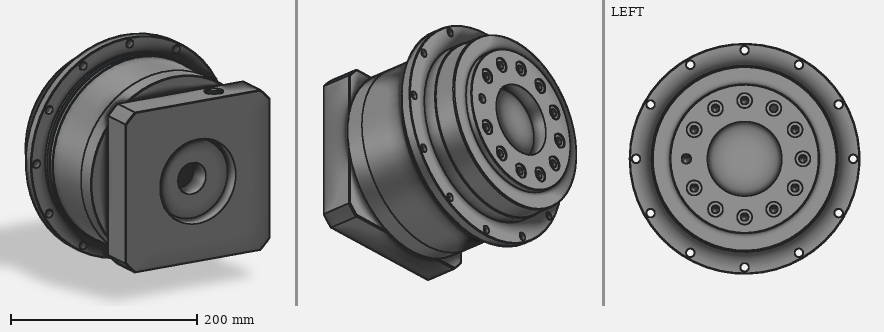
import cadquery as cq
import math


FRONT_FACE_X = 8.0
PILOT_X = 34.0
FLANGE_X = 50.0
FLANGE_END_X = 62.0
GROOVE_X = 66.0
GROOVE_END_X = 72.1
LAND_END_X = 77.0
SEAM_X = 135.0
SHOULDER_X = 156.4
PLATE_X = 165.7
REAR_X = 204.0

NOSE_D = 198.0
PILOT_D = 200.0
FLANGE_D = 247.0
LAND_D = 212.0
GROOVE_D = 205.0
BARREL_D = 210.0
NECK_D = 150.0
EDGE_CHAMFER = 0.7
NOSE_CHAMFER_LENGTH = 1.7

HOLE_COUNT = 12
HOLE_PITCH_ANGLE = 360.0 / HOLE_COUNT
FLANGE_HOLE_D = 9.0
FLANGE_HOLE_CIRCLE_D = 233.0

OUTPUT_D = 160.0
OUTPUT_DEPTH = FLANGE_X
RECESS_D = 80.0
RECESS_DEPTH = 17.0
OUTPUT_HOLE_CIRCLE_D = 125.0
THREAD_HOLE_D = 8.5
COUNTERBORE_D = 16.0
COUNTERBORE_DEPTH = 1.5
DOWEL_HOLE_D = 10.4
OUTPUT_HOLE_DEPTH = 24.7
DRILL_POINT_ANGLE = 118.0
DOWEL_INDEX = 0
FLAT_BOTTOM_INDEX = 4

PLATE_SIDE = 180.0
PLATE_CORNER_D = 238.5
PLATE_CHAMFER_LENGTH = 1.7
PLATE_BORE_D = 94.8
ACCESS_X = 181.8
ACCESS_Y = 33.3
ACCESS_D = 17.5
ACCESS_RIM_D = 20.5

HUB_D = 89.0
HUB_BORE_D = 35.0
HUB_LENGTH = 26.0
SCREW_HOLE_X = 180.5
SCREW_SEAT_D = 16.0
SCREW_CLEARANCE_D = 10.5
SCREW_THREAD_D = 8.5
SCREW_SEAT_Z = 11.0


def cylinder_x(diameter, start, end):
    """Cylinder on the X axis between two stations."""
    return cq.Workplane("YZ", origin=(start, 0, 0)).circle(diameter / 2).extrude(end - start)


def around_axis(index, circle_diameter):
    """(Y, Z) of one place in a twelve-hole circle, counted from +Y through +Z."""
    angle = math.radians(index * HOLE_PITCH_ANGLE)
    return circle_diameter / 2 * math.cos(angle), circle_diameter / 2 * math.sin(angle)


def drill_x(diameter, depth, y, z, pointed):
    """Tool for a blind hole bored from X = 0, with a conical or a flat bottom."""
    radius = diameter / 2
    point = radius / math.tan(math.radians(DRILL_POINT_ANGLE / 2)) if pointed else 0
    outline = cq.Workplane("XY").lineTo(0, radius).lineTo(depth, radius).lineTo(depth + point, 0)
    tool = outline.close().revolve(360, (0, 0, 0), (1, 0, 0))
    return tool.translate((0, y, z))


def make_output_flange():
    flange = cylinder_x(OUTPUT_D, 0, OUTPUT_DEPTH).faces("<X").chamfer(EDGE_CHAMFER)
    flange = flange.cut(cylinder_x(RECESS_D, 0, RECESS_DEPTH))
    for index in range(HOLE_COUNT):
        y, z = around_axis(index, OUTPUT_HOLE_CIRCLE_D)
        if index == DOWEL_INDEX:
            flange = flange.cut(drill_x(DOWEL_HOLE_D, OUTPUT_HOLE_DEPTH, y, z, True))
            continue
        pointed = index != FLAT_BOTTOM_INDEX
        flange = flange.cut(drill_x(THREAD_HOLE_D, OUTPUT_HOLE_DEPTH, y, z, pointed))
        flange = flange.cut(drill_x(COUNTERBORE_D, COUNTERBORE_DEPTH, y, z, False))
    return flange


def make_front_housing():
    nose = cylinder_x(NOSE_D, FRONT_FACE_X, PILOT_X).faces("<X").chamfer(NOSE_CHAMFER_LENGTH, EDGE_CHAMFER)
    pilot = cylinder_x(PILOT_D, PILOT_X, FLANGE_X).faces("<X").chamfer(EDGE_CHAMFER)
    mounting_flange = cylinder_x(FLANGE_D, FLANGE_X, FLANGE_END_X).faces("<X or >X").chamfer(EDGE_CHAMFER)
    for index in range(HOLE_COUNT):
        y, z = around_axis(index, FLANGE_HOLE_CIRCLE_D)
        hole = cylinder_x(FLANGE_HOLE_D, FLANGE_X, FLANGE_END_X).translate((0, y, z))
        mounting_flange = mounting_flange.cut(hole)
    housing = nose.union(pilot).union(mounting_flange)
    housing = housing.union(cylinder_x(LAND_D, FLANGE_END_X, GROOVE_X))
    housing = housing.union(cylinder_x(GROOVE_D, GROOVE_X, GROOVE_END_X))
    housing = housing.union(cylinder_x(LAND_D, GROOVE_END_X, LAND_END_X))
    housing = housing.union(cylinder_x(BARREL_D, LAND_END_X, SEAM_X))
    return housing.cut(cylinder_x(OUTPUT_D, FRONT_FACE_X, OUTPUT_DEPTH))


def make_rear_housing():
    """End cover that narrows through a concave fillet to the neck."""
    barrel = cylinder_x(BARREL_D, SEAM_X, SHOULDER_X).faces(">X").chamfer(EDGE_CHAMFER)
    neck_radius = NECK_D / 2
    fillet_radius = PLATE_X - SHOULDER_X
    diagonal = fillet_radius * math.sqrt(0.5)
    neck = (
        cq.Workplane("XY")
        .moveTo(SHOULDER_X, 0)
        .lineTo(SHOULDER_X, neck_radius + fillet_radius)
        .threePointArc(
            (PLATE_X - diagonal, neck_radius + fillet_radius - diagonal),
            (PLATE_X, neck_radius),
        )
        .lineTo(PLATE_X, 0)
        .close()
        .revolve(360, (0, 0, 0), (1, 0, 0))
    )
    return barrel.union(neck)


def make_adapter_plate():
    thickness = REAR_X - PLATE_X
    square = cq.Workplane("YZ", origin=(PLATE_X, 0, 0)).rect(PLATE_SIDE, PLATE_SIDE).extrude(thickness)
    plate = square.intersect(cylinder_x(PLATE_CORNER_D, PLATE_X, REAR_X))
    plate = plate.faces("<X").chamfer(EDGE_CHAMFER, PLATE_CHAMFER_LENGTH)
    plate = plate.faces(">X").chamfer(EDGE_CHAMFER)
    plate = plate.cut(cylinder_x(PLATE_BORE_D, PLATE_X, REAR_X))

    top = cq.Workplane("XY", origin=(ACCESS_X, ACCESS_Y, 0))
    access = top.circle(ACCESS_D / 2).extrude(PLATE_SIDE / 2)
    rim_depth = (ACCESS_RIM_D - ACCESS_D) / 2
    rim = (
        top.workplane(offset=PLATE_SIDE / 2)
        .circle(ACCESS_RIM_D / 2)
        .workplane(offset=-rim_depth)
        .circle(ACCESS_D / 2)
        .loft()
    )
    return plate.cut(access).cut(rim)


def make_clamping_hub():
    hub_end = PLATE_X + HUB_LENGTH
    hub = cylinder_x(HUB_D, PLATE_X, hub_end).cut(cylinder_x(HUB_BORE_D, PLATE_X, hub_end))

    screw = cq.Workplane("XY", origin=(SCREW_HOLE_X, ACCESS_Y, 0))
    head_seat = screw.workplane(offset=SCREW_SEAT_Z).circle(SCREW_SEAT_D / 2).extrude(HUB_D / 2)
    clearance = screw.circle(SCREW_CLEARANCE_D / 2).extrude(SCREW_SEAT_Z)
    thread = screw.circle(SCREW_THREAD_D / 2).extrude(-HUB_D / 2)
    return hub.cut(head_seat).cut(clearance).cut(thread)


output_flange = make_output_flange()
front_housing = make_front_housing()
rear_housing = make_rear_housing()
adapter_plate = make_adapter_plate()
clamping_hub = make_clamping_hub()

result = cq.Compound.makeCompound([
    output_flange.val(),
    front_housing.val(),
    rear_housing.val(),
    adapter_plate.val(),
    clamping_hub.val(),
])